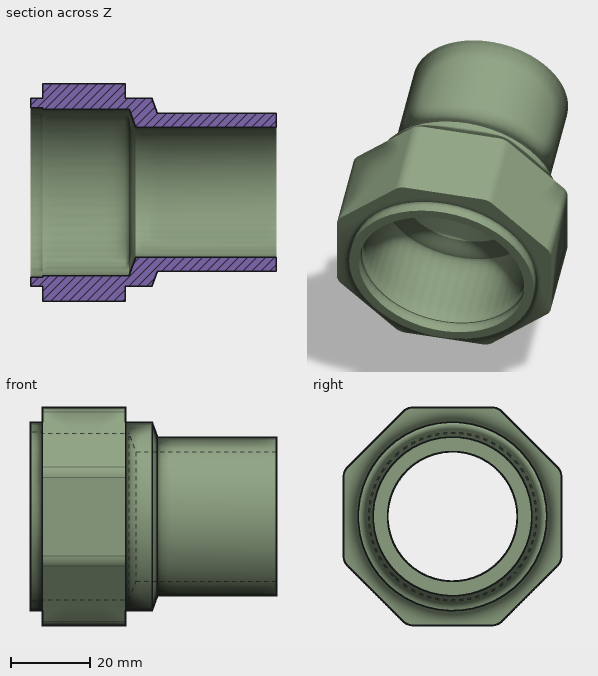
import cadquery as cq
import math

total_length = 62.0
octagon_start = 3.0
octagon_length = 21.0
tube_length = 30.0

cone_angle = 20.0

collar_diameter = 47.5
tube_diameter = 40.0
across_flats = 55.0
corner_radius = 3.7

mouth_diameter = 42.57
mouth_depth = 3.0
socket_diameter = 41.91
socket_depth = 24.8
throat_diameter = 32.6


def revolve_about_x(profile_points):
    """Spin a closed (x, radius) outline a full turn about the X axis."""
    return cq.Workplane("XY").polyline(profile_points).close().revolve(360, (0, 0, 0), (1, 0, 0))


def cone_length(large_radius, small_radius):
    """Axial length of a conical step between two radii."""
    return (large_radius - small_radius) * math.tan(math.radians(cone_angle))


def make_outer_body():
    """Collar, conical shoulder and plain tube end as one solid of revolution."""
    collar_radius = collar_diameter / 2
    tube_radius = tube_diameter / 2
    shoulder_end = total_length - tube_length
    collar_end = shoulder_end - cone_length(collar_radius, tube_radius)
    return revolve_about_x([
        (0, 0),
        (0, collar_radius),
        (collar_end, collar_radius),
        (shoulder_end, tube_radius),
        (total_length, tube_radius),
        (total_length, 0),
    ])


def make_octagon():
    """Wrench octagon with flats square to Y and Z and rounded corners."""
    side_count = 8
    across_corners = across_flats / math.cos(math.pi / side_count)
    return (
        cq.Workplane("YZ", origin=(octagon_start, 0, 0))
        .transformed(rotate=(0, 0, 180 / side_count))
        .polygon(side_count, across_corners)
        .extrude(octagon_length)
        .edges("|X")
        .fillet(corner_radius)
    )


def make_bore():
    """Stepped through bore: mouth recess, socket, conical seat and throat."""
    mouth_radius = mouth_diameter / 2
    socket_radius = socket_diameter / 2
    throat_radius = throat_diameter / 2
    throat_start = socket_depth + cone_length(socket_radius, throat_radius)
    return revolve_about_x([
        (0, 0),
        (0, mouth_radius),
        (mouth_depth, mouth_radius),
        (mouth_depth, socket_radius),
        (socket_depth, socket_radius),
        (throat_start, throat_radius),
        (total_length, throat_radius),
        (total_length, 0),
    ])


result = make_outer_body().union(make_octagon()).cut(make_bore())